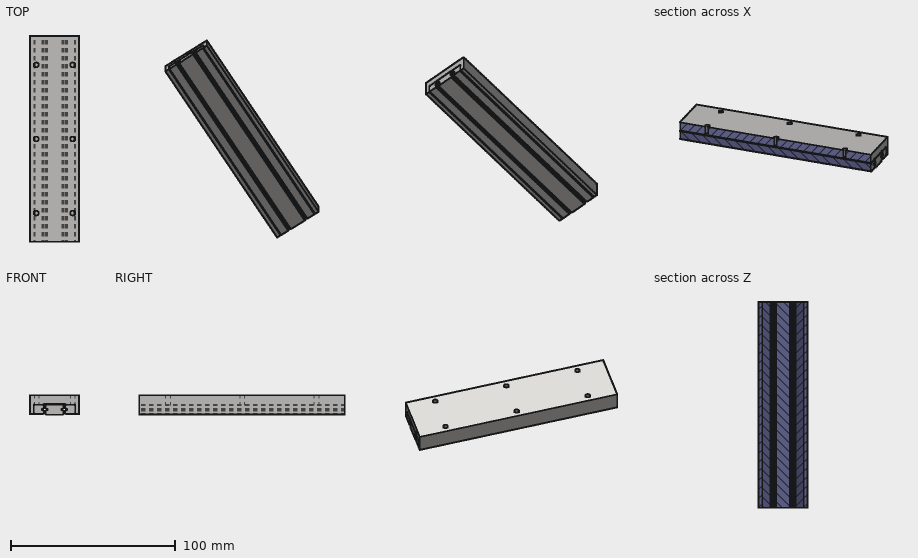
import cadquery as cq

LENGTH = 125.0
WIDTH = 30.0
HEIGHT = 12.0

TABLE_BOTTOM = 0.44
WALL = 2.5
SEAT_Z = 6.2
RELIEF_DEPTH = 0.2

HOLE_DIAMETER = 2.9
HOLES_X = 2
HOLES_Y = 3
HOLE_PITCH_X = 22.0
HOLE_PITCH_Y = 45.0

OUTER_RAIL_INNER_X = 6.5
CENTER_RAIL_WIDTH = 11.0
CENTER_RAIL_TOP = 6.2
RAIL_CHAMFER = 0.5

GROOVE_Z = 3.2
GROOVE_MOUTH = 1.7
GROOVE_SLOT = 0.5
GROOVE_DEPTH = 1.1
V_DEPTH = (GROOVE_MOUTH - GROOVE_SLOT) / 2


def bar(x_min, x_max, z_min, z_max):
    """Full-length rectangular bar along Y, centred on Y = 0."""
    return cq.Workplane("XY").box(
        x_max - x_min, LENGTH, z_max - z_min, centered=(False, True, False)
    ).translate((x_min, 0, z_min))


def running_groove(face_x, inward):
    """Cutter for a groove in a rail side; inward is the X direction into the rail."""
    half_mouth = GROOVE_MOUTH / 2
    half_slot = GROOVE_SLOT / 2
    v_root_x = face_x + inward * V_DEPTH
    slot_root_x = face_x + inward * GROOVE_DEPTH
    return (
        cq.Workplane("XZ")
        .moveTo(face_x, GROOVE_Z - half_mouth)
        .lineTo(v_root_x, GROOVE_Z - half_slot)
        .lineTo(slot_root_x, GROOVE_Z - half_slot)
        .lineTo(slot_root_x, GROOVE_Z + half_slot)
        .lineTo(v_root_x, GROOVE_Z + half_slot)
        .lineTo(face_x, GROOVE_Z + half_mouth)
        .close()
        .extrude(LENGTH / 2, both=True)
    )


def make_table():
    """Inverted channel with a seat for the outer rails and a relief over the centre rail."""
    half_width = WIDTH / 2
    half_pocket = half_width - WALL
    body = bar(-half_width, half_width, TABLE_BOTTOM, HEIGHT)
    pocket = bar(-half_pocket, half_pocket, TABLE_BOTTOM, SEAT_Z)
    relief = bar(-OUTER_RAIL_INNER_X, OUTER_RAIL_INNER_X, SEAT_Z, SEAT_Z + RELIEF_DEPTH)
    holes = (
        cq.Workplane("XY", origin=(0, 0, SEAT_Z))
        .rarray(HOLE_PITCH_X, HOLE_PITCH_Y, HOLES_X, HOLES_Y)
        .circle(HOLE_DIAMETER / 2)
        .extrude(HEIGHT - SEAT_Z)
    )
    return body.cut(pocket).cut(relief).cut(holes)


def make_outer_rail(side):
    """Outer rail against one table wall; side is -1 or +1."""
    inner_x = side * OUTER_RAIL_INNER_X
    outer_x = side * (WIDTH / 2 - WALL)
    rail = bar(min(inner_x, outer_x), max(inner_x, outer_x), TABLE_BOTTOM, SEAT_Z)
    rail = rail.edges("|Y").chamfer(RAIL_CHAMFER)
    return rail.cut(running_groove(inner_x, side))


def make_center_rail():
    """Centre rail with a running groove in each side."""
    half_width = CENTER_RAIL_WIDTH / 2
    rail = bar(-half_width, half_width, 0, CENTER_RAIL_TOP).edges("|Y").chamfer(RAIL_CHAMFER)
    for side in (-1, 1):
        rail = rail.cut(running_groove(side * half_width, -side))
    return rail


table = make_table()
outer_rails = [make_outer_rail(side) for side in (-1, 1)]
center_rail = make_center_rail()

result = cq.Compound.makeCompound(
    [table.val(), *[rail.val() for rail in outer_rails], center_rail.val()]
)